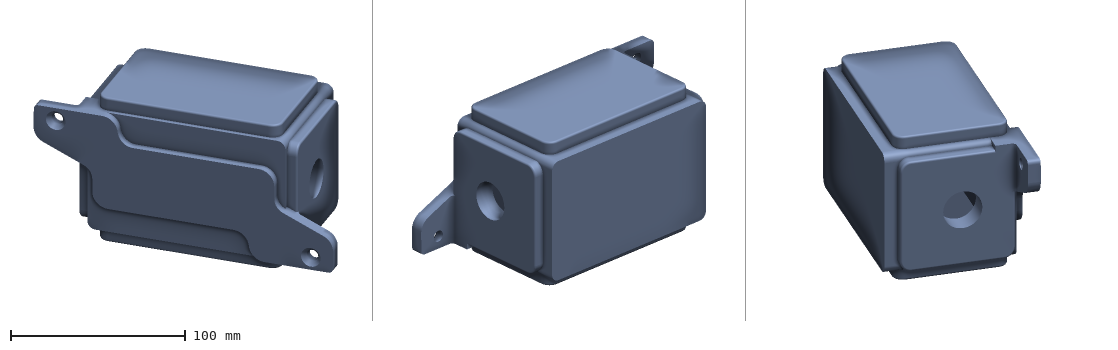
import cadquery as cq
import math


BODY_LENGTH = 120.9
BODY_HEIGHT = 76.2
BODY_FRONT = 5.08
BODY_BACK = 84.14
BODY_CORNER_RADIUS = 4.95

TOTAL_HEIGHT = 91.95
TOP_PAD_LENGTH = 111.3
END_PAD_HEIGHT = 69.85
END_PAD_SPAN = 133.5
PAD_FRONT = 7.75
PAD_BACK = 76.4
PAD_CORNER_RADIUS = 6.5
PAD_EDGE = 1.27

ARM_THICKNESS = 7.7
ARM_TIP_X = 91.535
ARM_TIP_TAPER = 0.3
ARM_TIP_RADIUS = 2.54
ARM_SLOPE = math.radians(23)
ARM_EDGE_Z = 7.2
PLATE_HALF_LENGTH = 55.56
PLATE_HALF_HEIGHT = 20.8
PLATE_RADIUS = 9.525
ARM_ROOT_RADIUS = 8.7
STEP_X = 40.1

GUSSET_BACK = 19.7
GUSSET_FILLET = 2.54
HOLE_X = 77.9
HOLE_Z = 30.16
HOLE_DIAMETER = 7.0
COUNTERSINK_DIAMETER = 11.9
COUNTERSINK_ANGLE = 82

BORE_DIAMETER = 23.4
BORE_Y = 39.2
OUTER_WALL = 12.7
BACK_WALL = 7.62

HALF_HEIGHT = BODY_HEIGHT / 2
PAD_FACE_X = END_PAD_SPAN / 2
PAD_MIDDLE_Y = (PAD_FRONT + PAD_BACK) / 2
PAD_WIDTH_Y = PAD_BACK - PAD_FRONT
TOUCHING = 1e-6


def front_plane(y):
    """Sketch plane facing the front, with local x along X and local y along Z."""
    return cq.Workplane("XZ", origin=(0, y, 0))


def toward(start, end, distance):
    """Point at the given distance from start on the way to end."""
    length = math.dist(start, end)
    return tuple(a + (b - a) * distance / length for a, b in zip(start, end))


def rounded_polygon(plane, corners):
    """Closed outline through (x, z, radius) corners, each rounded by a tangent arc."""
    arcs = []
    for index, (x, z, radius) in enumerate(corners):
        corner = (x, z)
        before = corners[index - 1][:2]
        after = corners[(index + 1) % len(corners)][:2]
        heading_in = math.atan2(before[1] - z, before[0] - x)
        heading_out = math.atan2(after[1] - z, after[0] - x)
        half_angle = abs(math.remainder(heading_out - heading_in, math.tau)) / 2
        setback = radius / math.tan(half_angle)
        bulge = radius / math.sin(half_angle) - radius
        start = toward(corner, before, setback)
        end = toward(corner, after, setback)
        chord_middle = tuple((a + b) / 2 for a, b in zip(start, end))
        arcs.append((start, toward(corner, chord_middle, bulge), end))
    outline = plane.moveTo(*arcs[-1][2])
    last = arcs[-1][2]
    for start, middle, end in arcs:
        if math.dist(last, start) > TOUCHING:
            outline = outline.lineTo(*start)
        outline = outline.threePointArc(middle, end)
        last = end
    return outline.close()


def arm_edge_z(x):
    """Height of the left arm's sloping lower edge at x."""
    return ARM_EDGE_Z - (x + PAD_FACE_X) * math.tan(ARM_SLOPE)


def plate_outline(plane):
    """Plate outline: one half from the left arm to the S-shaped step, and its half-turn copy."""
    step_drop = HALF_HEIGHT - PLATE_HALF_HEIGHT
    step_angle = math.acos(1 - step_drop / (2 * PLATE_RADIUS))
    step_half_run = step_drop / math.tan(step_angle) / 2
    half = [
        (-ARM_TIP_X + ARM_TIP_TAPER, HALF_HEIGHT, ARM_TIP_RADIUS),
        (-ARM_TIP_X, arm_edge_z(-ARM_TIP_X), PLATE_RADIUS),
        (-PLATE_HALF_LENGTH, arm_edge_z(-PLATE_HALF_LENGTH), ARM_ROOT_RADIUS),
        (-PLATE_HALF_LENGTH, -PLATE_HALF_HEIGHT, PLATE_RADIUS),
        (STEP_X - step_half_run, -PLATE_HALF_HEIGHT, PLATE_RADIUS),
        (STEP_X + step_half_run, -HALF_HEIGHT, PLATE_RADIUS),
    ]
    return rounded_polygon(plane, half + [(-x, -z, radius) for x, z, radius in half])


def half_turn(shape):
    """Copy turned half a revolution about the Y axis."""
    return shape.rotate((0, 0, 0), (0, 1, 0), 180)


def make_body():
    depth = BODY_BACK - BODY_FRONT
    body = front_plane(BODY_BACK).rect(BODY_LENGTH, BODY_HEIGHT).extrude(depth)
    return body.edges("|Y").fillet(BODY_CORNER_RADIUS)


def make_top_and_bottom_pads():
    pads = (
        cq.Workplane("XY", origin=(0, PAD_MIDDLE_Y, -TOTAL_HEIGHT / 2))
        .rect(TOP_PAD_LENGTH, PAD_WIDTH_Y)
        .extrude(TOTAL_HEIGHT)
    )
    return pads.edges("|Z").fillet(PAD_CORNER_RADIUS).faces("<Z or >Z").edges().fillet(PAD_EDGE)


def make_end_pads():
    pads = (
        cq.Workplane("YZ", origin=(-PAD_FACE_X, PAD_MIDDLE_Y, 0))
        .rect(PAD_WIDTH_Y, END_PAD_HEIGHT)
        .extrude(END_PAD_SPAN)
    )
    return pads.edges("|X").fillet(PAD_CORNER_RADIUS).faces("<X or >X").edges().fillet(PAD_EDGE)


def make_plate():
    """Full outline with both arms; its middle is raised in front of the body."""
    return plate_outline(front_plane(ARM_THICKNESS)).extrude(ARM_THICKNESS)


def make_left_gusset():
    """Block behind the left arm that ties it to the end pad, filleted into the arm."""
    column = plate_outline(front_plane(GUSSET_BACK)).extrude(GUSSET_BACK)
    gusset_end = BODY_CORNER_RADIUS - BODY_LENGTH / 2
    fillet_start = -PAD_FACE_X - GUSSET_FILLET
    fillet_back = ARM_THICKNESS + GUSSET_FILLET
    middle_offset = GUSSET_FILLET * (1 - math.sqrt(0.5))
    fillet_middle = (-PAD_FACE_X - middle_offset, ARM_THICKNESS + middle_offset)
    footprint = (
        cq.Workplane("XY", origin=(0, 0, -HALF_HEIGHT))
        .moveTo(gusset_end, 0)
        .lineTo(fillet_start, 0)
        .lineTo(fillet_start, ARM_THICKNESS)
        .threePointArc(fillet_middle, (-PAD_FACE_X, fillet_back))
        .lineTo(-PAD_FACE_X, GUSSET_BACK)
        .lineTo(gusset_end, GUSSET_BACK)
        .close()
        .extrude(BODY_HEIGHT)
    )
    return column.intersect(footprint)


def cut_arm_holes(part):
    holes = [(-HOLE_X, HOLE_Z), (HOLE_X, -HOLE_Z)]
    return (
        front_plane(0)
        .add(part)
        .pushPoints(holes)
        .cskHole(HOLE_DIAMETER, COUNTERSINK_DIAMETER, COUNTERSINK_ANGLE, ARM_THICKNESS)
    )


def make_cavity():
    depth = BODY_BACK - BACK_WALL - OUTER_WALL
    return (
        front_plane(BODY_BACK - BACK_WALL)
        .rect(END_PAD_SPAN - 2 * OUTER_WALL, TOTAL_HEIGHT - 2 * OUTER_WALL)
        .extrude(depth)
    )


def make_bore():
    return (
        cq.Workplane("YZ", origin=(-PAD_FACE_X, BORE_Y, 0))
        .circle(BORE_DIAMETER / 2)
        .extrude(END_PAD_SPAN)
    )


left_gusset = make_left_gusset()
result = make_body().union(make_top_and_bottom_pads()).union(make_end_pads())
result = result.union(make_plate()).union(left_gusset).union(half_turn(left_gusset))
result = cut_arm_holes(result).cut(make_cavity()).cut(make_bore())